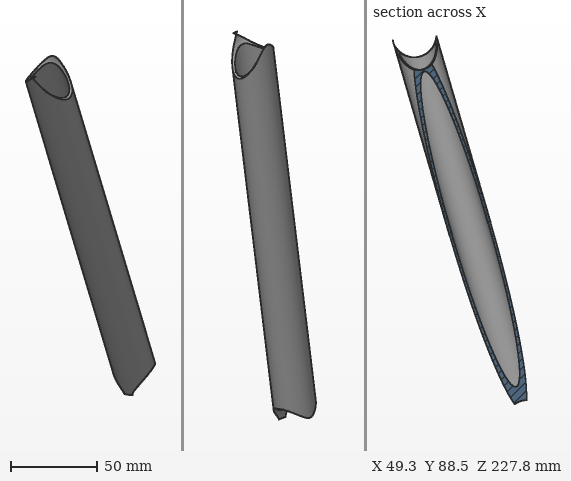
import cadquery as cq
import math


TUBE_RADIUS = 12.55
WALL = 1.65
LEAN_X = 0.12
LEAN_Y = 0.291
TOP_X = 2.37
TOP_Y = -0.26
TOP_OVERHANG = 0.3

RAIL_RADIUS = 12.73
RAIL_REACH = 60.0
LOWER_RAIL_Y = 65.63
LOWER_RAIL_Z = -224.65

UPPER_BEND_RADIUS = 14.8
UPPER_RISE = -0.408
UPPER_DRIFT = 0.091


def tube_axis_point(z):
    return cq.Vector(TOP_X - LEAN_X * z, TOP_Y - LEAN_Y * z, z)


def tube_blank():
    """Square-ended tube from the lower rail's axis to just above the upper rail's axis."""
    bottom = tube_axis_point(LOWER_RAIL_Z)
    span = tube_axis_point(0) - bottom
    length = span.Length + TOP_OVERHANG
    base = cq.Workplane(cq.Plane(origin=bottom.toTuple(), normal=span.toTuple()))
    return base.circle(TUBE_RADIUS).circle(TUBE_RADIUS - WALL).extrude(length)


def lower_rail():
    profile = cq.Workplane("YZ").center(LOWER_RAIL_Y, LOWER_RAIL_Z).circle(RAIL_RADIUS)
    return profile.extrude(RAIL_REACH, both=True)


def upper_rail():
    """Solid round bar: straight run, circular bend, straight run."""
    level = cq.Vector(1, 0, 0)
    falling = cq.Vector(1, UPPER_DRIFT, UPPER_RISE).normalized()
    bend_angle = level.getAngle(falling)
    tangent_length = UPPER_BEND_RADIUS * math.tan(bend_angle / 2)
    corner_to_arc = UPPER_BEND_RADIUS * (1 / math.cos(bend_angle / 2) - 1)

    start = level * -RAIL_REACH
    bend_start = level * -tangent_length
    bend_middle = (falling - level).normalized() * corner_to_arc
    bend_end = falling * tangent_length
    end = falling * RAIL_REACH
    path = cq.Wire.assembleEdges(
        [
            cq.Edge.makeLine(start, bend_start),
            cq.Edge.makeThreePointArc(bend_start, bend_middle, bend_end),
            cq.Edge.makeLine(bend_end, end),
        ]
    )
    profile = cq.Workplane("YZ", origin=start.toTuple()).circle(RAIL_RADIUS)
    return profile.sweep(cq.Workplane(path))


def largest_solid(shape):
    return max(shape.solids().vals(), key=lambda solid: solid.Volume())


coped = tube_blank().cut(lower_rail()).cut(upper_rail())
result = cq.Workplane(largest_solid(coped))